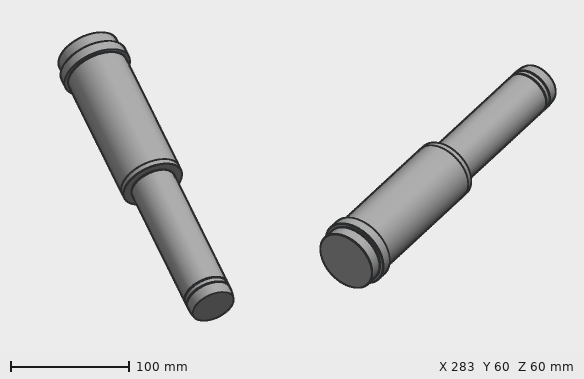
import cadquery as cq


LENGTH = 283.0
FLANGE_START = 12.2
FLANGE_WIDTH = 9.5
BODY_END = 147.0

FLANGE_DIAMETER = 60.0
BODY_DIAMETER = 54.0
PIN_DIAMETER = 40.0

EDGE_CHAMFER = 0.5
BODY_CHAMFER = 0.3

NECK_DIAMETER = 53.8
NECK_WIDTH = 1.5
RELIEF_WIDTH = 0.8

LEAD_LENGTH = 5.0
LEAD_DIAMETER = 53.8

GROOVE_WIDTH = 0.8
GROOVE_DEPTH = 0.3
GROOVE_STARTS = (BODY_END, 267.0, 272.0)

TIP_LENGTH = 7.5
TIP_DIAMETER = 37.4


def cylinder(start, length, diameter):
    return cq.Workplane("YZ", origin=(start, 0, 0)).circle(diameter / 2).extrude(length)


def groove(start, width, floor_diameter):
    """Ring that removes everything outside the groove floor."""
    return cylinder(start, width, FLANGE_DIAMETER).cut(cylinder(start, width, floor_diameter))


def rounded_pin():
    """Full-length core whose tip curves inward, starting tangent to its side."""
    pin_radius = PIN_DIAMETER / 2
    return (
        cq.Workplane("XY")
        .lineTo(0, pin_radius)
        .lineTo(LENGTH - TIP_LENGTH, pin_radius)
        .tangentArcPoint((LENGTH, TIP_DIAMETER / 2), relative=False)
        .lineTo(LENGTH, 0)
        .close()
        .revolve(360, (0, 0, 0), (1, 0, 0))
    )


lead_start = BODY_END - LEAD_LENGTH
body = cylinder(0, lead_start, BODY_DIAMETER).faces("<X").chamfer(EDGE_CHAMFER)
lead = cylinder(lead_start, LEAD_LENGTH, LEAD_DIAMETER).faces(">X").chamfer(BODY_CHAMFER)
flange = cylinder(FLANGE_START, FLANGE_WIDTH, FLANGE_DIAMETER).faces("<X").chamfer(EDGE_CHAMFER)
result = body.union(lead).union(flange).union(rounded_pin())

result = result.cut(groove(FLANGE_START - NECK_WIDTH, NECK_WIDTH, NECK_DIAMETER))
result = result.cut(groove(FLANGE_START + FLANGE_WIDTH, RELIEF_WIDTH, NECK_DIAMETER))

groove_floor = PIN_DIAMETER - 2 * GROOVE_DEPTH
for groove_start in GROOVE_STARTS:
    result = result.cut(groove(groove_start, GROOVE_WIDTH, groove_floor))